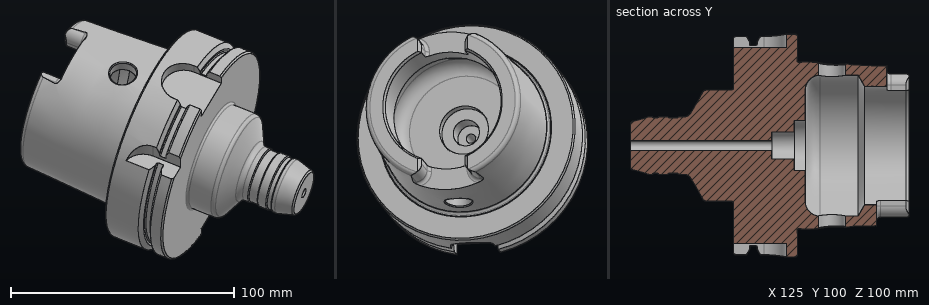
import cadquery as cq
import math

LENGTH = 125.0

SHANK_BIG_RADIUS = 75.4 / 2
SHANK_SLOPE = 0.05
SHANK_TAPER_END = 47.9
SHANK_END_ROUND = 2.0
NECK_RADIUS = 37.4
NECK_START = 48.5
NECK_FOOT_START = 49.2

FLANGE_RADIUS = 50.0
FLANGE_START = 50.0
FLANGE_END = 78.8
FLANGE_CHAMFER = 0.8
FACE_RECESS_RADIUS = 39.4
FACE_RECESS_DEPTH = 0.2
FACE_RECESS_RIM = 0.4
GROOVE_START = 66.8
GROOVE_END = 72.9
GROOVE_BOTTOM_RADIUS = 46.0
GROOVE_FLANK_DEPTH = 2.5
GROOVE_FLANK_ANGLE = 30.0
GROOVE_FLANK_WIDTH = GROOVE_FLANK_DEPTH * math.tan(math.radians(GROOVE_FLANK_ANGLE))
GROOVE_BOTTOM_CHAMFER = 0.5

COLLAR_RADIUS = 25.0
COLLAR_BASE_ROUND = 1.0
COLLAR_END = 92.0
COLLAR_END_ROUND = 2.1
CONE_ANGLE = 60.0
CONE_FOOT_ROUND = 3.1
NOSE_RADIUS = 26.0 / 2
NOSE_RELIEF_RADIUS = 25.0 / 2
RELIEF_STEP = 0.5
RELIEFS = ((103.2, 108.2), (112.2, 115.1))
TIP_TAPER_START = 116.8
TIP_RADIUS = 10.9
TIP_CHAMFER = 0.8

BORE_RADIUS = 53.0 / 2
BORE_MOUTH_WIDENING = 0.9
BORE_MOUTH_DEPTH = 1.5
CLAMP_GROOVE_RADIUS = 63.0 / 2
CLAMP_GROOVE_START = 20.0
CLAMP_FLANK_ANGLE = 30.0
CLAMP_GROOVE_END = 40.0
FLOOR_RADIUS = 50.0 / 2
SEAT_RADIUS = 22.4 / 2
SEAT_DEPTH = 5.0
COOLANT_STEP_RADIUS = 12.0 / 2
COOLANT_STEP_DEPTH = 10.0
COOLANT_RADIUS = 4.2 / 2

CROSS_HOLE_RADIUS = 12.0 / 2
CROSS_HOLE_X = 34.6
CROSS_HOLE_CHAMFER = 0.5

SLOT_HALF_WIDTH = 9.9
SLOT_FLARE_RADIUS = 5.0
SLOT_FLARE_TOP = 32.1
SLOT_DEPTHS = {1: 10.0, -1: 14.6}
SLOT_FLOOR_ROUND = 1.8
SLOT_ENTRY_CHAMFER = 1.5

KEY_SLOT_WIDTH = 20.0
KEY_SLOT_START = 55.0
KEY_SLOT_FLOOR = 44.0
SIDE_NOTCH_WALL_Y = -31.4
SIDE_NOTCH_FLOOR = 31.4

CLEARANCE = 6.2


def shank_radius(x):
    return SHANK_BIG_RADIUS - SHANK_SLOPE * (SHANK_TAPER_END - x)


def revolve(profile):
    return profile.close().revolve(360, (0, 0, 0), (1, 0, 0))


def turned_body():
    turn = math.radians(CONE_ANGLE)
    collar_tangent = COLLAR_END_ROUND * math.tan(turn / 2)
    foot_tangent = CONE_FOOT_ROUND * math.tan(turn / 2)
    cone_end = COLLAR_END + (COLLAR_RADIUS - NOSE_RADIUS) / math.tan(turn)
    cone_direction = (math.cos(turn), -math.sin(turn))
    recess_floor = FLANGE_START + FACE_RECESS_DEPTH
    groove_wall_radius = FLANGE_RADIUS - GROOVE_FLANK_DEPTH

    profile = (
        cq.Workplane("XY")
        .lineTo(0, shank_radius(0) - SHANK_END_ROUND)
        .tangentArcPoint((SHANK_END_ROUND, shank_radius(SHANK_END_ROUND)), relative=False)
        .lineTo(SHANK_TAPER_END, SHANK_BIG_RADIUS)
        .lineTo(NECK_START, NECK_RADIUS)
        .lineTo(NECK_FOOT_START, NECK_RADIUS)
        .tangentArcPoint((recess_floor, NECK_RADIUS + recess_floor - NECK_FOOT_START), relative=False)
        .lineTo(recess_floor, FACE_RECESS_RADIUS - FACE_RECESS_RIM)
        .lineTo(FLANGE_START, FACE_RECESS_RADIUS)
    )
    profile = (
        profile
        .lineTo(FLANGE_START, FLANGE_RADIUS - FLANGE_CHAMFER)
        .lineTo(FLANGE_START + FLANGE_CHAMFER, FLANGE_RADIUS)
        .lineTo(GROOVE_START, FLANGE_RADIUS)
        .lineTo(GROOVE_START + GROOVE_FLANK_WIDTH, groove_wall_radius)
        .lineTo(GROOVE_START + GROOVE_FLANK_WIDTH, GROOVE_BOTTOM_RADIUS + GROOVE_BOTTOM_CHAMFER)
        .lineTo(GROOVE_START + GROOVE_FLANK_WIDTH + GROOVE_BOTTOM_CHAMFER, GROOVE_BOTTOM_RADIUS)
        .lineTo(GROOVE_END - GROOVE_FLANK_WIDTH, GROOVE_BOTTOM_RADIUS)
        .lineTo(GROOVE_END - GROOVE_FLANK_WIDTH, groove_wall_radius)
        .lineTo(GROOVE_END, FLANGE_RADIUS)
        .lineTo(FLANGE_END - FLANGE_CHAMFER, FLANGE_RADIUS)
        .lineTo(FLANGE_END, FLANGE_RADIUS - FLANGE_CHAMFER)
    )
    profile = (
        profile
        .lineTo(FLANGE_END, COLLAR_RADIUS + COLLAR_BASE_ROUND)
        .tangentArcPoint((FLANGE_END + COLLAR_BASE_ROUND, COLLAR_RADIUS), relative=False)
        .lineTo(COLLAR_END - collar_tangent, COLLAR_RADIUS)
        .tangentArcPoint(
            (COLLAR_END + collar_tangent * cone_direction[0],
             COLLAR_RADIUS + collar_tangent * cone_direction[1]), relative=False)
        .lineTo(cone_end - foot_tangent * cone_direction[0],
                NOSE_RADIUS - foot_tangent * cone_direction[1])
        .tangentArcPoint((cone_end + foot_tangent, NOSE_RADIUS), relative=False)
    )
    for relief_start, relief_end in RELIEFS:
        profile = (
            profile
            .lineTo(relief_start, NOSE_RADIUS)
            .lineTo(relief_start + RELIEF_STEP, NOSE_RELIEF_RADIUS)
            .lineTo(relief_end - RELIEF_STEP, NOSE_RELIEF_RADIUS)
            .lineTo(relief_end, NOSE_RADIUS)
        )
    profile = (
        profile
        .lineTo(TIP_TAPER_START, NOSE_RADIUS)
        .lineTo(LENGTH - TIP_CHAMFER, TIP_RADIUS)
        .lineTo(LENGTH, TIP_RADIUS - TIP_CHAMFER)
        .lineTo(LENGTH, 0)
    )
    return revolve(profile)


def cavity():
    groove_depth = CLAMP_GROOVE_RADIUS - BORE_RADIUS
    groove_flat_start = CLAMP_GROOVE_START + groove_depth * math.tan(math.radians(CLAMP_FLANK_ANGLE))
    floor_round = CLAMP_GROOVE_RADIUS - FLOOR_RADIUS
    cavity_floor = CLAMP_GROOVE_END + floor_round
    seat_floor = cavity_floor + SEAT_DEPTH
    coolant_floor = seat_floor + COOLANT_STEP_DEPTH
    return revolve(
        cq.Workplane("XY")
        .lineTo(0, BORE_RADIUS + BORE_MOUTH_WIDENING)
        .lineTo(BORE_MOUTH_DEPTH, BORE_RADIUS)
        .lineTo(CLAMP_GROOVE_START, BORE_RADIUS)
        .lineTo(groove_flat_start, CLAMP_GROOVE_RADIUS)
        .lineTo(CLAMP_GROOVE_END, CLAMP_GROOVE_RADIUS)
        .tangentArcPoint((cavity_floor, FLOOR_RADIUS), relative=False)
        .lineTo(cavity_floor, SEAT_RADIUS)
        .lineTo(seat_floor, SEAT_RADIUS)
        .lineTo(seat_floor, COOLANT_STEP_RADIUS)
        .lineTo(coolant_floor, COOLANT_STEP_RADIUS)
        .lineTo(coolant_floor, COOLANT_RADIUS)
        .lineTo(LENGTH, COOLANT_RADIUS)
        .lineTo(LENGTH, 0)
    )


def drill_cross_hole(body):
    hole = (
        cq.Workplane("XY", origin=(CROSS_HOLE_X, 0, 0))
        .circle(CROSS_HOLE_RADIUS)
        .extrude(FLANGE_RADIUS, both=True)
    )
    drilled = body.cut(hole)
    for side in (1, -1):
        rim = cq.selectors.BoxSelector(
            (CROSS_HOLE_X - CROSS_HOLE_RADIUS, -CROSS_HOLE_RADIUS, side * CLAMP_GROOVE_RADIUS),
            (CROSS_HOLE_X + CROSS_HOLE_RADIUS, CROSS_HOLE_RADIUS, side * FLANGE_RADIUS))
        drilled = drilled.edges(rim).chamfer(CROSS_HOLE_CHAMFER)
    return drilled


def driving_slot(side):
    depth = SLOT_DEPTHS[side]
    flare_start = SLOT_FLARE_TOP - SLOT_FLARE_RADIUS
    flare_half_width = SLOT_HALF_WIDTH + SLOT_FLARE_RADIUS
    outer_half_width = flare_half_width + CLEARANCE
    cutter = (
        cq.Workplane("YZ")
        .moveTo(-SLOT_HALF_WIDTH, 0)
        .lineTo(SLOT_HALF_WIDTH, 0)
        .lineTo(SLOT_HALF_WIDTH, flare_start)
        .tangentArcPoint((flare_half_width, SLOT_FLARE_TOP), relative=False)
        .lineTo(outer_half_width, SLOT_FLARE_TOP)
        .lineTo(outer_half_width, FLANGE_RADIUS)
        .lineTo(-outer_half_width, FLANGE_RADIUS)
        .lineTo(-outer_half_width, SLOT_FLARE_TOP)
        .lineTo(-flare_half_width, SLOT_FLARE_TOP)
        .tangentArcPoint((-SLOT_HALF_WIDTH, flare_start), relative=False)
        .close()
        .extrude(depth)
    )
    walls_at_floor = cq.selectors.BoxSelector(
        (0, -outer_half_width, CLEARANCE), (2 * depth, outer_half_width, SLOT_FLARE_TOP + CLEARANCE))
    cutter = cutter.faces(">X").edges(walls_at_floor).fillet(SLOT_FLOOR_ROUND)
    entry = (
        cq.Workplane("XY")
        .moveTo(0, -SLOT_HALF_WIDTH - SLOT_ENTRY_CHAMFER)
        .lineTo(SLOT_ENTRY_CHAMFER, -SLOT_HALF_WIDTH)
        .lineTo(SLOT_ENTRY_CHAMFER, SLOT_HALF_WIDTH)
        .lineTo(0, SLOT_HALF_WIDTH + SLOT_ENTRY_CHAMFER)
        .close()
        .extrude(FLANGE_RADIUS)
    )
    cutter = cutter.union(entry)
    return cutter if side > 0 else cutter.rotate((0, 0, 0), (1, 0, 0), 180)


def flange_slot(center_y, floor):
    radius = KEY_SLOT_WIDTH / 2
    round_center = KEY_SLOT_START + radius
    return (
        cq.Workplane("XY", origin=(0, center_y, floor))
        .moveTo(FLANGE_END, -radius)
        .lineTo(FLANGE_END, radius)
        .lineTo(round_center, radius)
        .threePointArc((KEY_SLOT_START, 0), (round_center, -radius))
        .close()
        .extrude(FLANGE_RADIUS)
    )


key_slot = flange_slot(0, KEY_SLOT_FLOOR)
side_notch = flange_slot(SIDE_NOTCH_WALL_Y - KEY_SLOT_WIDTH / 2, SIDE_NOTCH_FLOOR)

result = drill_cross_hole(turned_body().cut(cavity()))
for slot_side in SLOT_DEPTHS:
    result = result.cut(driving_slot(slot_side))
result = result.cut(key_slot).cut(key_slot.mirror("XY")).cut(side_notch)